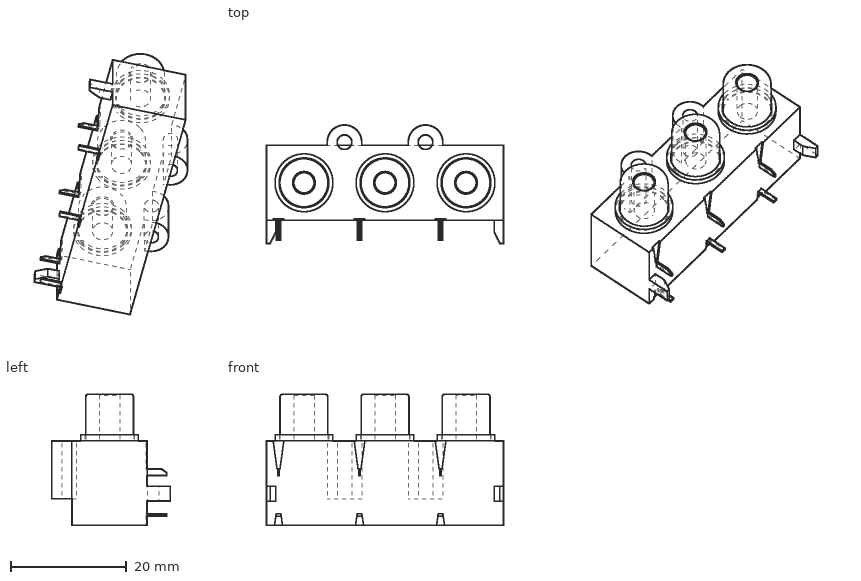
import cadquery as cq


BODY_WIDTH = 41.0
BODY_DEPTH = 13.0
BODY_HEIGHT = 14.6

JACK_COUNT = 3
JACK_PITCH = 14.0
JACK_Y = BODY_DEPTH / 2
COLLAR_DIAMETER = 10.0
COLLAR_HEIGHT = 1.1
GAP_DIAMETER = 8.6
BARREL_DIAMETER = 8.3
BARREL_HEIGHT = 8.1
BARREL_FILLET = 0.5
BORE_DIAMETER = 3.5
BORE_CHAMFER = 0.2
BORE_CHAMFER_ANGLE = 90.0
BORE_DEPTH = BARREL_HEIGHT

LUG_RADIUS = 3.0
LUG_HEIGHT = 10.0
LUG_HOLE_DIAMETER = 2.5
LUG_CENTER_Y = BODY_DEPTH + 0.5

PEG_BOTTOM = 4.2
PEG_HEIGHT = 2.6
PEG_LENGTH = 4.0
PEG_ROOT_WIDTH = 1.65
PEG_TIP_WIDTH = 0.65
PEG_STRAIGHT_LENGTH = 2.0

PIN_LENGTH = 3.4
PIN_OFFSET_FROM_JACK = -4.4
RECESS_DEPTH = 0.25

UPPER_PIN_WIDTH = 0.3
UPPER_PIN_HEIGHT = 1.15
UPPER_PIN_TOP = BODY_HEIGHT - 4.85
UPPER_PIN_TIP_DROP = 0.65
UPPER_PIN_TIP_LENGTH = 0.9
UPPER_RECESS_MOUTH_WIDTH = 1.85
UPPER_RECESS_END_WIDTH = 0.5

LOWER_PIN_WIDTH = 0.8
LOWER_PIN_HEIGHT = 0.4
LOWER_PIN_TOP = 2.0
LOWER_RECESS_MOUTH_WIDTH = 1.4

JACK_XS = [(i - (JACK_COUNT - 1) / 2) * JACK_PITCH for i in range(JACK_COUNT)]
LUG_XS = [x + JACK_PITCH / 2 for x in JACK_XS[:-1]]
PIN_XS = [x + PIN_OFFSET_FROM_JACK for x in JACK_XS]


def box_between(x_range, y_range, z_range):
    """Box spanning the given (low, high) limits along each axis."""
    size = [high - low for low, high in (x_range, y_range, z_range)]
    corner = (x_range[0], y_range[0], z_range[0])
    return cq.Workplane("XY").box(*size, centered=False).translate(corner)


def make_body():
    half_width = BODY_WIDTH / 2
    return box_between((-half_width, half_width), (0, BODY_DEPTH), (0, BODY_HEIGHT))


def make_jack(x):
    """Return the collar and the bored barrel standing on the top face."""
    base = cq.Workplane("XY").workplane(offset=BODY_HEIGHT).center(x, JACK_Y)
    collar = base.circle(COLLAR_DIAMETER / 2).circle(GAP_DIAMETER / 2).extrude(COLLAR_HEIGHT)
    barrel = (
        base.circle(BARREL_DIAMETER / 2)
        .extrude(BARREL_HEIGHT)
        .faces(">Z")
        .edges()
        .fillet(BARREL_FILLET)
    )
    barrel = (
        barrel.faces(">Z")
        .workplane(centerOption="CenterOfBoundBox")
        .cskHole(BORE_DIAMETER, BORE_DIAMETER + 2 * BORE_CHAMFER, BORE_CHAMFER_ANGLE, BORE_DEPTH)
    )
    return collar, barrel


def make_lug(x):
    """Round-ended lug, flush with the top face and joined to the back face."""
    bottom = BODY_HEIGHT - LUG_HEIGHT
    round_end = (
        cq.Workplane("XY")
        .workplane(offset=bottom)
        .center(x, LUG_CENTER_Y)
        .circle(LUG_RADIUS)
        .extrude(LUG_HEIGHT)
    )
    neck = box_between(
        (x - LUG_RADIUS, x + LUG_RADIUS),
        (LUG_CENTER_Y - LUG_RADIUS, LUG_CENTER_Y),
        (bottom, BODY_HEIGHT),
    )
    return round_end.union(neck)


def make_lug_hole(x):
    """Screw hole as deep as the lug, notching the back of the block."""
    return (
        cq.Workplane("XY")
        .workplane(offset=BODY_HEIGHT - LUG_HEIGHT)
        .center(x, LUG_CENTER_Y)
        .circle(LUG_HOLE_DIAMETER / 2)
        .extrude(LUG_HEIGHT)
    )


def make_left_peg():
    """Peg flush with the left end, its inner side sloping towards the tip."""
    outer_x = -BODY_WIDTH / 2
    return (
        cq.Workplane("XY")
        .workplane(offset=PEG_BOTTOM)
        .moveTo(outer_x, 0)
        .lineTo(outer_x, -PEG_LENGTH)
        .lineTo(outer_x + PEG_TIP_WIDTH, -PEG_LENGTH)
        .lineTo(outer_x + PEG_ROOT_WIDTH, -PEG_STRAIGHT_LENGTH)
        .lineTo(outer_x + PEG_ROOT_WIDTH, 0)
        .close()
        .extrude(PEG_HEIGHT)
    )


def make_recess(x, mouth_z, mouth_width, end_z, end_width):
    """Shallow trapezoidal recess in the front face, open at mouth_z."""
    return (
        cq.Workplane("XZ")
        .moveTo(x - mouth_width / 2, mouth_z)
        .lineTo(x + mouth_width / 2, mouth_z)
        .lineTo(x + end_width / 2, end_z)
        .lineTo(x - end_width / 2, end_z)
        .close()
        .extrude(-RECESS_DEPTH)
    )


def make_upper_recess(x):
    return make_recess(
        x, BODY_HEIGHT, UPPER_RECESS_MOUTH_WIDTH, UPPER_PIN_TOP, UPPER_RECESS_END_WIDTH
    )


def make_lower_recess(x):
    return make_recess(x, 0, LOWER_RECESS_MOUTH_WIDTH, LOWER_PIN_TOP, LOWER_PIN_WIDTH)


def make_upper_pin(x):
    """Upright blade with a sloping upper corner at its tip."""
    bottom = UPPER_PIN_TOP - UPPER_PIN_HEIGHT
    return (
        cq.Workplane("YZ")
        .workplane(offset=x - UPPER_PIN_WIDTH / 2)
        .moveTo(RECESS_DEPTH, bottom)
        .lineTo(-PIN_LENGTH, bottom)
        .lineTo(-PIN_LENGTH, UPPER_PIN_TOP - UPPER_PIN_TIP_DROP)
        .lineTo(-PIN_LENGTH + UPPER_PIN_TIP_LENGTH, UPPER_PIN_TOP)
        .lineTo(RECESS_DEPTH, UPPER_PIN_TOP)
        .close()
        .extrude(UPPER_PIN_WIDTH)
    )


def make_lower_pin(x):
    """Flat strip at the closed end of the lower recess."""
    half_width = LOWER_PIN_WIDTH / 2
    return box_between(
        (x - half_width, x + half_width),
        (-PIN_LENGTH, RECESS_DEPTH),
        (LOWER_PIN_TOP - LOWER_PIN_HEIGHT, LOWER_PIN_TOP),
    )


result = make_body()

for lug_x in LUG_XS:
    result = result.union(make_lug(lug_x)).cut(make_lug_hole(lug_x))

for jack_x in JACK_XS:
    jack_collar, jack_barrel = make_jack(jack_x)
    result = result.union(jack_collar).union(jack_barrel)

left_peg = make_left_peg()
result = result.union(left_peg).union(left_peg.mirror("YZ"))

for pin_x in PIN_XS:
    result = result.cut(make_upper_recess(pin_x)).cut(make_lower_recess(pin_x))
    result = result.union(make_upper_pin(pin_x)).union(make_lower_pin(pin_x))